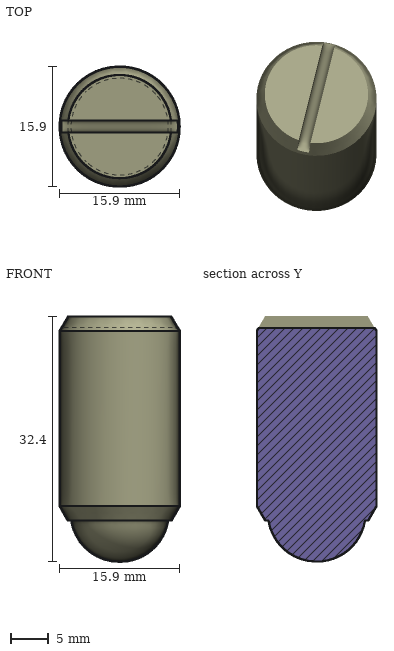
import cadquery as cq
import math

body_diameter = 15.88
body_length = 27.0
end_face_diameter = 13.65
chamfer_slope = math.radians(60)
ball_diameter = 13.0
ball_protrusion = 5.44
slot_width = 1.6
slot_depth = 1.5

body_radius = body_diameter / 2
end_face_radius = end_face_diameter / 2
chamfer_height = (body_radius - end_face_radius) * math.tan(chamfer_slope)
ball_radius = ball_diameter / 2
ball_center_z = ball_radius - ball_protrusion


def make_body():
    """Cylinder along Z with its lower end at Z = 0 and both ends chamfered."""
    profile = (
        cq.Workplane("XZ")
        .moveTo(0, 0)
        .lineTo(end_face_radius, 0)
        .lineTo(body_radius, chamfer_height)
        .lineTo(body_radius, body_length - chamfer_height)
        .lineTo(end_face_radius, body_length)
        .lineTo(0, body_length)
        .close()
    )
    return profile.revolve(360, (0, 0, 0), (0, 1, 0))


def make_ball():
    """Plunger ball that protrudes from the lower end of the body."""
    return cq.Workplane("XY").sphere(ball_radius).translate((0, 0, ball_center_z))


def make_slot():
    """Screwdriver slot along X, right across the upper end."""
    return (
        cq.Workplane("XY")
        .workplane(offset=body_length - slot_depth)
        .rect(body_diameter, slot_width)
        .extrude(slot_depth)
    )


result = make_body().union(make_ball()).cut(make_slot())